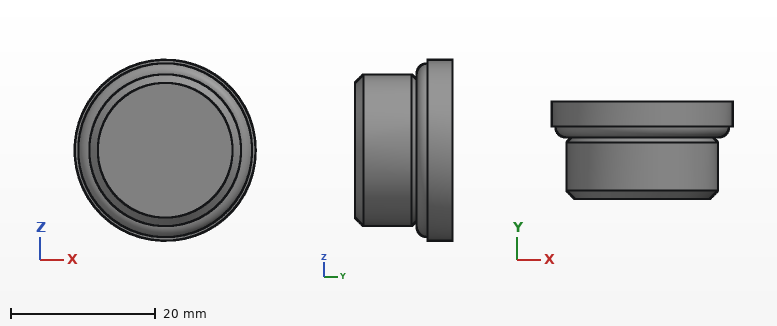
import cadquery as cq

flange_diameter = 25.0
total_length = 13.5
flange_thickness = 3.5
body_diameter = 20.95
neck_diameter = 18.0
front_chamfer = 1.18
ring_section_radius = 1.5
body_back_offset = 2.15

flange_radius = flange_diameter / 2
body_radius = body_diameter / 2
neck_radius = neck_diameter / 2
ring_center_radius = neck_radius + ring_section_radius

back_y = total_length / 2
flange_face_y = back_y - flange_thickness
front_y = -total_length / 2
body_back_y = flange_face_y - body_back_offset
neck_end_y = body_back_y + (body_radius - neck_radius)


def revolve_about_y(profile):
    return profile.close().revolve(360, (0, 0, 0), (0, 1, 0))


plug = revolve_about_y(
    cq.Workplane("XY")
    .moveTo(0, back_y)
    .lineTo(flange_radius, back_y)
    .lineTo(flange_radius, flange_face_y)
    .lineTo(neck_radius, flange_face_y)
    .lineTo(neck_radius, neck_end_y)
    .lineTo(body_radius, body_back_y)
    .lineTo(body_radius, front_y + front_chamfer)
    .lineTo(body_radius - front_chamfer, front_y)
    .lineTo(0, front_y)
)

sealing_ring = revolve_about_y(
    cq.Workplane("XY")
    .moveTo(neck_radius, flange_face_y)
    .threePointArc(
        (ring_center_radius, flange_face_y - ring_section_radius),
        (ring_center_radius + ring_section_radius, flange_face_y),
    )
)

result = plug.union(sealing_ring)